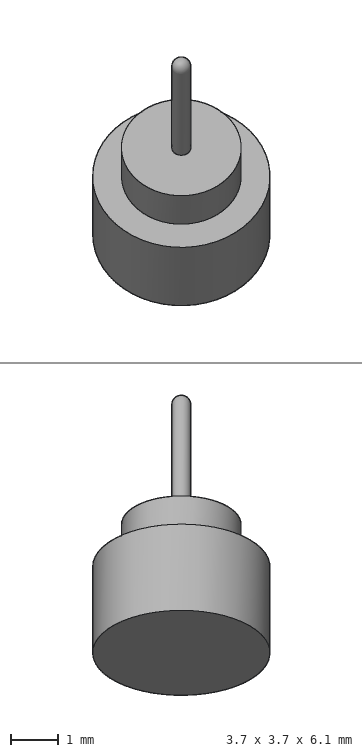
import cadquery as cq

total_height = 6.1
base_diameter = 3.7
base_height = 2.05
collar_diameter = 2.5
collar_height = 1.0
pin_diameter = 0.4

pin_radius = pin_diameter / 2
collar_top = base_height + collar_height
tip_start = total_height - pin_radius


def cylinder(diameter, bottom, top):
    """Upright cylinder on the Z axis between two heights."""
    return cq.Workplane("XY").workplane(offset=bottom).circle(diameter / 2).extrude(top - bottom)


base = cylinder(base_diameter, 0, base_height)
collar = cylinder(collar_diameter, base_height, collar_top)

pin = cylinder(pin_diameter, collar_top, tip_start)
tip = cq.Workplane("XY").sphere(pin_radius).translate((0, 0, tip_start))

result = base.union(collar).union(pin).union(tip)